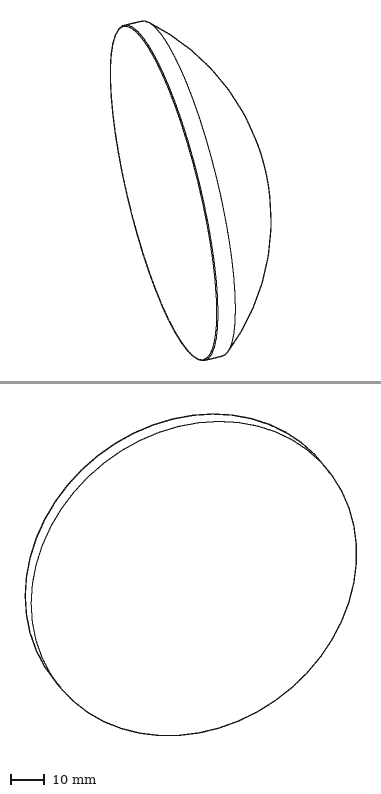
import cadquery as cq
import math

diameter = 101.6
center_thickness = 30.0
edge_thickness = 5.7
edge_chamfer = 0.3

radius = diameter / 2
dome_height = center_thickness - edge_thickness
dome_radius = (radius**2 + dome_height**2) / (2 * dome_height)
dome_center_y = center_thickness - dome_radius


def dome_point(angle):
    """Point of the dome profile at an angle from the optical axis."""
    x = dome_radius * math.sin(angle)
    y = dome_center_y + dome_radius * math.cos(angle)
    return (x, y)


def make_lens():
    """Revolve the half section about the optical axis."""
    rim_angle = math.asin(radius / dome_radius)
    apex = (0, center_thickness)
    half_section = (
        cq.Workplane("XY")
        .moveTo(0, 0)
        .lineTo(radius - edge_chamfer, 0)
        .lineTo(radius, edge_chamfer)
        .lineTo(radius, edge_thickness)
        .threePointArc(dome_point(rim_angle / 2), apex)
        .close()
    )
    axis_start = (0, 0)
    axis_end = (0, 1)
    return half_section.revolve(360, axis_start, axis_end)


result = make_lens()